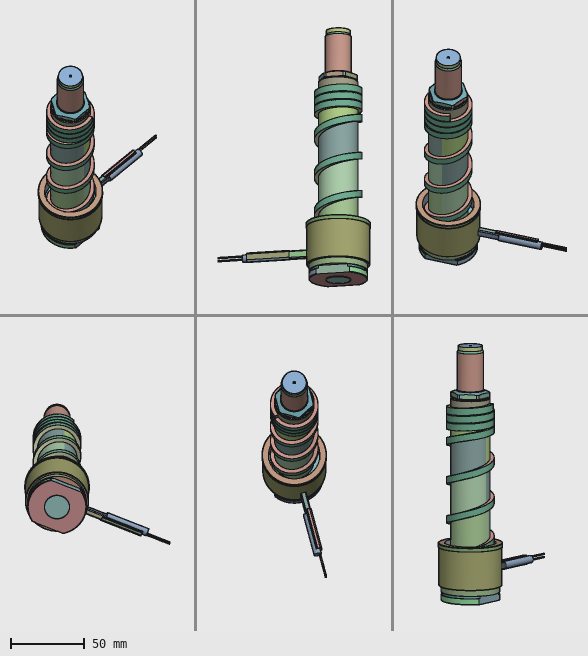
import cadquery as cq
import math

total_height = 176.3
total_length_y = 105.5

cap_radius = 8.25
cap_bottom = 173.5
shaft_radius = 9.0
shaft_top = 172.0
shaft_bottom = 145.9
collar_radius = 9.5
collar_bottom = 145.4

hex_across_flats = 24.0
hex_corner_radius = 13.4
hex_shoulder = 144.0
hex_bottom = 141.1
hex_turn = 30.0
hex_neck_radius = hex_across_flats / 2

tube_radius = 13.5
tube_top = 140.5
tube_chamfer = 0.6
tube_embed = 1.0

centre_hole_diameter = 1.5
centre_hole_depth = 2.0

flange_radius = 22.0
flange_top = 40.3
flange_bottom = 37.5
flange_chamfer = 0.4
body_radius = 21.5
body_bottom = 10.7
body_chamfer = 0.4
foot_radius = 20.0
foot_chamfer = 0.4
groove_radius = 19.2
groove_top = 6.5
groove_bottom = 4.8
foot_bottom = 0.6
boss_radius = 8.5
foot_across_flats = 32.5
bore_radius = 17.5
bore_floor = 30.0

spring_outer_radius = 16.25
spring_overlap = 0.1
spring_inner_radius = tube_radius - spring_overlap
wire_height = 4.7
spring_end_top = 136.9
closed_pitch = 5.4
open_pitch = 27.0
end_angle = 22.0
closed_turns = 1075.0 / 360.0
ramp_turns = 150.0 / 360.0
points_per_turn = 24

cable_height = 19.5
wire_radius = 0.5
wire_spacing = 2.2
wire_x = -1.3
cable_end = total_length_y - flange_radius
sleeve_radius = 2.6
sleeve_x = 0.15
sleeve_start = 36.3
sleeve_end = 66.5
clip_start = 33.6
clip_end = 63.2
clip_left = -3.5
clip_right = 0.5
clip_height = 6.4
clip_chamfer = 1.2
cord_left = -3.0
cord_right = 1.0
cord_height = 5.5
cord_chamfer = 0.7
cord_start = 20.0


def revolved(profile):
    """Solid of revolution about Z from (radius, height) points, closed along the axis."""
    points = [(0, profile[0][1])] + profile + [(0, profile[-1][1])]
    return cq.Workplane("XZ").polyline(points).close().revolve(360, (0, 0, 0), (0, 1, 0))


def make_stem():
    """Tube, hexagonal head and plain shaft with its reduced tip."""
    tube = revolved([
        (tube_radius, bore_floor - tube_embed),
        (tube_radius, tube_top - tube_chamfer),
        (tube_radius - tube_chamfer, tube_top),
        (hex_neck_radius, tube_top),
        (hex_neck_radius, hex_bottom),
    ])
    head = revolved([
        (hex_corner_radius, hex_bottom),
        (hex_corner_radius, hex_shoulder),
        (collar_radius, collar_bottom),
        (shaft_radius, shaft_bottom),
        (shaft_radius, shaft_top),
        (cap_radius, cap_bottom),
        (cap_radius, total_height),
    ])
    hexagon = (
        cq.Workplane("XY")
        .workplane(offset=hex_bottom)
        .transformed(rotate=(0, 0, hex_turn))
        .polygon(6, hex_across_flats / math.cos(math.pi / 6))
        .extrude(total_height)
    )
    return tube.union(head.intersect(hexagon))


def make_base():
    """Bored cup with a grooved foot carrying two parallel flats."""
    base = revolved([
        (boss_radius, 0),
        (boss_radius, foot_bottom),
        (foot_radius - foot_chamfer, foot_bottom),
        (foot_radius, foot_bottom + foot_chamfer),
        (foot_radius, groove_bottom),
        (groove_radius, groove_bottom),
        (groove_radius, groove_top),
        (foot_radius, groove_top),
        (foot_radius, body_bottom),
        (body_radius - body_chamfer, body_bottom),
        (body_radius, body_bottom + body_chamfer),
        (body_radius, flange_bottom),
        (flange_radius, flange_bottom),
        (flange_radius, flange_top - flange_chamfer),
        (flange_radius - flange_chamfer, flange_top),
    ])
    bore = cq.Workplane("XY").workplane(offset=bore_floor).circle(bore_radius).extrude(flange_top)
    base = base.cut(bore)
    slab_size = 2 * foot_radius
    for side in (-1, 1):
        slab = cq.Workplane("XY").box(slab_size, slab_size, groove_top, centered=(True, True, False))
        base = base.cut(slab.translate((side * (foot_across_flats + slab_size) / 2, 0, 0)))
    return base


def spring_drop(turns):
    """Descent of the wire below its top end after a number of turns."""
    if turns <= closed_turns:
        return closed_pitch * turns
    ramp = min(turns - closed_turns, ramp_turns)
    widening = (open_pitch - closed_pitch) * ramp**2 / (2 * ramp_turns)
    drop = closed_pitch * (closed_turns + ramp) + widening
    return drop + open_pitch * max(turns - closed_turns - ramp_turns, 0)


def make_spring():
    """Rectangular wire bounded by four ruled helical faces and two flat ends."""
    upper_turns = closed_turns + ramp_turns
    open_drop = spring_end_top - bore_floor - spring_drop(upper_turns)
    turns = upper_turns + open_drop / open_pitch
    count = math.ceil(turns * points_per_turn)

    def corner_edge(radius, lift):
        points = []
        for i in range(count + 1):
            turned = turns * i / count
            angle = math.radians(end_angle) - 2 * math.pi * turned
            height = spring_end_top - spring_drop(turned) + lift
            points.append(cq.Vector(radius * math.cos(angle), radius * math.sin(angle), height))
        return cq.Edge.makeSpline(points)

    edges = [
        corner_edge(spring_inner_radius, 0),
        corner_edge(spring_outer_radius, 0),
        corner_edge(spring_outer_radius, -wire_height),
        corner_edge(spring_inner_radius, -wire_height),
    ]
    faces = []
    for i in range(len(edges)):
        faces.append(cq.Face.makeRuledSurface(edges[i - 1], edges[i]))
    for position in (0, 1):
        corners = [edge.positionAt(position) for edge in edges]
        faces.append(cq.Face.makeFromWires(cq.Wire.makePolygon(corners, close=True)))
    spring = cq.Solid.makeSolid(cq.Shell.makeShell(faces))
    return cq.Workplane(obj=spring.fix())


def bar_along_y(left, right, height, start, end, chamfer):
    """Rectangular bar at cable height with its four long edges chamfered."""
    return (
        cq.Workplane("XY")
        .box(right - left, end - start, height, centered=(False, False, True))
        .translate((left, start, cable_height))
        .edges("|Y")
        .chamfer(chamfer)
    )


def rod_along_y(x, z, radius, start, end):
    return cq.Workplane("XZ", origin=(x, start, z)).circle(radius).extrude(start - end)


def make_cable():
    """Flat cord with a clip, a round sleeve beside it and two wires at the end."""
    cord = bar_along_y(cord_left, cord_right, cord_height, cord_start, clip_end, cord_chamfer)
    clip = bar_along_y(clip_left, clip_right, clip_height, clip_start, clip_end, clip_chamfer)
    cable = cord.union(clip)
    cable = cable.union(rod_along_y(sleeve_x, cable_height, sleeve_radius, sleeve_start, sleeve_end))
    for side in (-1, 1):
        z = cable_height + side * wire_spacing / 2
        cable = cable.union(rod_along_y(wire_x, z, wire_radius, clip_end, cable_end))
    return cable


def make_centre_hole():
    return (
        cq.Workplane("XY")
        .workplane(offset=total_height - centre_hole_depth)
        .circle(centre_hole_diameter / 2)
        .extrude(centre_hole_depth)
    )


part = make_base().union(make_stem()).union(make_spring()).union(make_cable()).cut(make_centre_hole())
result = part.solids()